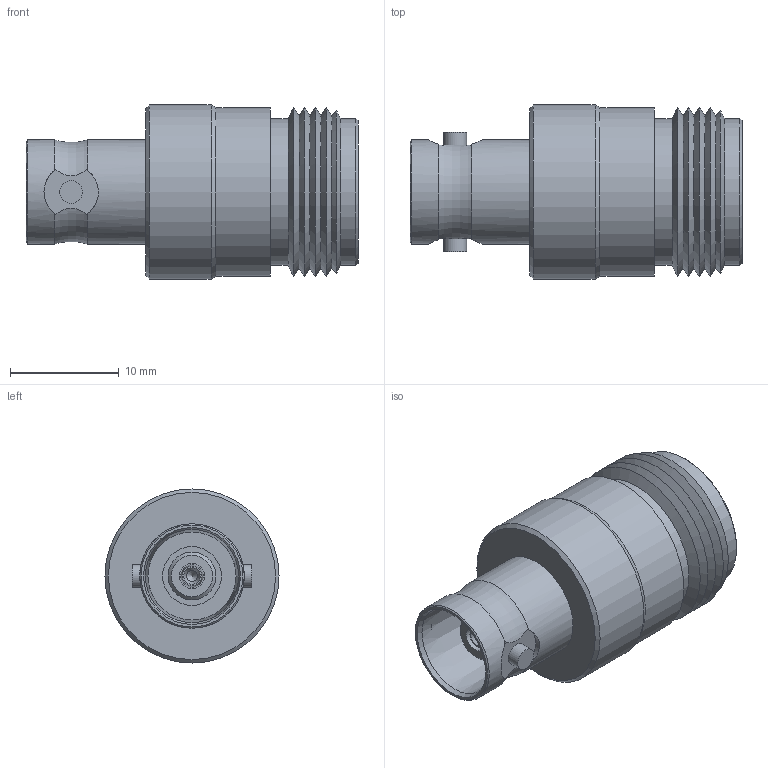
import cadquery as cq


bayonet_x = 4.15
shoulder_x = 11.0
shoulder_end_x = 17.0
body_start_x = 17.45
body_end_x = 22.45
total_length = 30.5

nose_radius = 9.6 / 2
shoulder_radius = 16.0 / 2
body_radius = 15.5 / 2
neck_radius = 13.5 / 2

nose_chamfer = 0.12
shoulder_chamfer = 0.32
barrel_chamfer = 0.2

groove_width = 3.04
groove_depth = 0.25
flat_diameter = 5.0
flat_offset = 4.3
lug_diameter = 2.1
lug_span = 11.0

thread_pitch = 1.0
first_crest_x = 24.58
full_crests = 4
thread_start_x = 24.1
thread_end_x = 28.9
thread_root_radius = 7.0
thread_crest_radius = body_radius
last_crest_x = 28.52
last_crest_radius = 7.46

mouth_radius = 4.45
throat_radius = 4.28
throat_x = 0.45
socket_floor_radius = 8.1 / 2
socket_floor_x = 8.5

flange_diameter = 5.4
flange_height = 0.3
post_diameter = 4.4
post_tip_x = 3.07
post_chamfer = 0.3
post_bore_diameter = 2.3

contact_tip_x = 3.3
contact_tip_radius = 1.8 / 2
contact_base_radius = 2.1 / 2
contact_base_x = 6.0
contact_mouth_radius = 1.55 / 2
contact_bore_radius = 1.0 / 2
contact_bore_x = 3.9
contact_apex_x = contact_bore_x + contact_bore_radius


def revolve_about_x(outline):
    return outline.close().revolve(360, (0, 0, 0), (1, 0, 0))


def x_cylinder(diameter, start_x, length):
    return cq.Workplane("YZ", origin=(start_x, 0, 0)).circle(diameter / 2).extrude(length)


def outer_body():
    outline = (
        cq.Workplane("XY")
        .moveTo(0, 0)
        .lineTo(0, nose_radius - nose_chamfer)
        .lineTo(nose_chamfer, nose_radius)
        .lineTo(bayonet_x - groove_width / 2, nose_radius)
        .threePointArc(
            (bayonet_x, nose_radius - groove_depth),
            (bayonet_x + groove_width / 2, nose_radius),
        )
        .lineTo(shoulder_x, nose_radius)
        .lineTo(shoulder_x, shoulder_radius - shoulder_chamfer)
        .lineTo(shoulder_x + shoulder_chamfer, shoulder_radius)
        .lineTo(shoulder_end_x, shoulder_radius)
        .lineTo(body_start_x, body_radius)
        .lineTo(body_end_x, body_radius)
        .lineTo(body_end_x, neck_radius)
        .lineTo(thread_start_x, neck_radius)
    )
    for index in range(full_crests):
        crest_x = first_crest_x + index * thread_pitch
        outline = outline.lineTo(crest_x, thread_crest_radius)
        outline = outline.lineTo(crest_x + thread_pitch / 2, thread_root_radius)
    outline = (
        outline.lineTo(last_crest_x, last_crest_radius)
        .lineTo(thread_end_x, neck_radius)
        .lineTo(total_length - barrel_chamfer, neck_radius)
        .lineTo(total_length, neck_radius - barrel_chamfer)
        .lineTo(total_length, 0)
    )
    return revolve_about_x(outline)


def socket_cavity():
    outline = (
        cq.Workplane("XY")
        .moveTo(0, 0)
        .lineTo(0, mouth_radius)
        .lineTo(throat_x, throat_radius)
        .lineTo(socket_floor_x, socket_floor_radius)
        .lineTo(socket_floor_x, 0)
    )
    return revolve_about_x(outline)


def insulator():
    flange = x_cylinder(flange_diameter, socket_floor_x - flange_height, flange_height)
    post = x_cylinder(post_diameter, post_tip_x, socket_floor_x - post_tip_x)
    post = post.faces("<X").chamfer(post_chamfer)
    bore = x_cylinder(post_bore_diameter, post_tip_x, socket_floor_x - post_tip_x)
    return post.union(flange).cut(bore)


def centre_contact():
    outline = (
        cq.Workplane("XY")
        .moveTo(contact_apex_x, 0)
        .lineTo(contact_bore_x, contact_bore_radius)
        .lineTo(contact_tip_x, contact_mouth_radius)
        .lineTo(contact_tip_x, contact_tip_radius)
        .lineTo(contact_base_x, contact_base_radius)
        .lineTo(socket_floor_x, contact_base_radius)
        .lineTo(socket_floor_x, 0)
    )
    return revolve_about_x(outline)


def bayonet_flat(side):
    depth = nose_radius - flat_offset
    return (
        cq.Workplane("XZ", origin=(bayonet_x, side * flat_offset, 0))
        .circle(flat_diameter / 2)
        .extrude(-side * depth)
    )


def bayonet_lug(side):
    root = (socket_floor_radius + flat_offset) / 2
    return (
        cq.Workplane("XZ", origin=(bayonet_x, side * root, 0))
        .circle(lug_diameter / 2)
        .extrude(-side * (lug_span / 2 - root))
    )


result = outer_body()
for side in (-1, 1):
    result = result.cut(bayonet_flat(side)).union(bayonet_lug(side))
result = result.cut(socket_cavity()).union(insulator()).union(centre_contact())